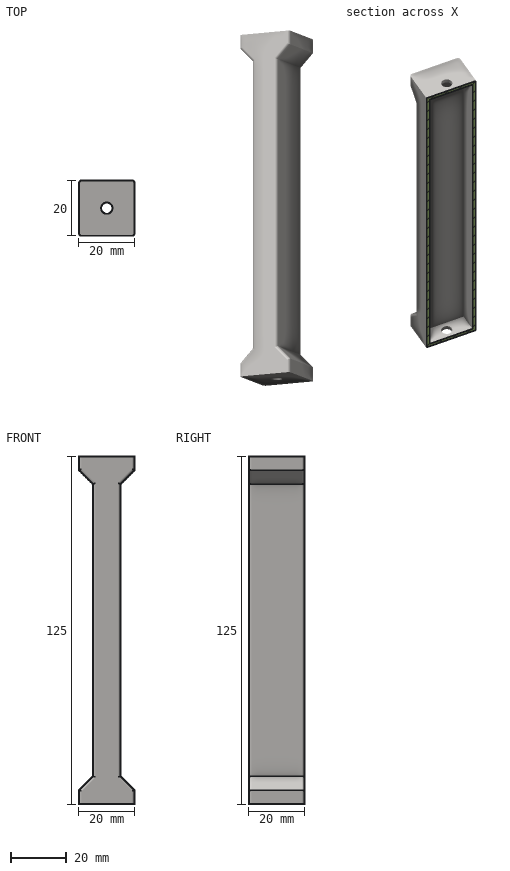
import cadquery as cq

height = 125.0
width = 20.0
depth = 20.0

web_width = 10.0
end_height = 5.0
flare_height = (width - web_width) / 2

edge_round = 1.0
hole_diameter = 4.0
wall = 1.5


def column_body():
    """Double-flared profile extruded along Y, standing on Z = 0."""
    half_width = width / 2
    half_web = web_width / 2
    flare_end = end_height + flare_height
    right_side = [
        (half_width, 0),
        (half_width, end_height),
        (half_web, flare_end),
        (half_web, height - flare_end),
        (half_width, height - end_height),
        (half_width, height),
    ]
    left_side = [(-x, z) for x, z in reversed(right_side)]
    return (
        cq.Workplane("XZ")
        .polyline(right_side + left_side)
        .close()
        .extrude(depth / 2, both=True)
    )


def round_profile_edges(body):
    """Round the front and back outlines, leaving the flat ends sharp."""
    outline_edges = body.faces("<Y or >Y").edges("not(#Z and (<Z or >Z))")
    return outline_edges.fillet(edge_round)


def drill_through(body):
    """Drill the central hole along the full height."""
    drill = cq.Workplane("XY").circle(hole_diameter / 2).extrude(height)
    return body.cut(drill)


def hollow_core(body):
    """Remove a straight rectangular core, leaving the wall around the web and at the ends."""
    core = cq.Workplane("XY").workplane(offset=wall).rect(web_width - 2 * wall, depth - 2 * wall)
    return body.cut(core.extrude(height - 2 * wall))


result = drill_through(hollow_core(round_profile_edges(column_body())))